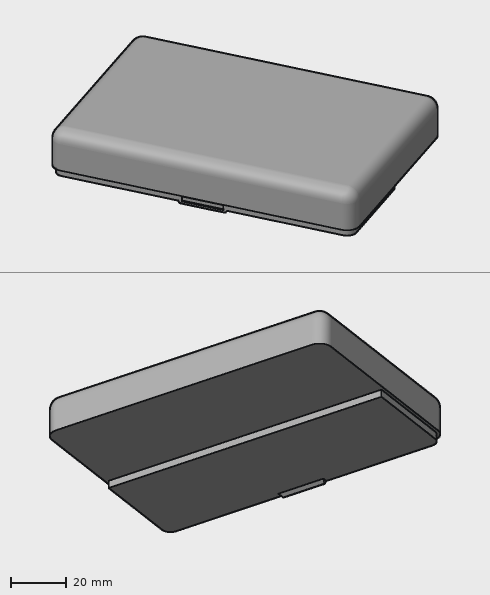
import cadquery as cq

lid_length = 121.0
lid_width = 81.0
lid_height = 16.0
edge_radius = 5.0
lip_inset = 1.3
lip_height = 3.0
tab_height = 1.0
tab_root_length = 19.5
tab_tip_length = 17.9
tab_depth = 2.0
tab_tip_depth = 0.2
recess_length = 16.5
recess_height = 2.0
recess_depth = 0.7

lip_length = lid_length - 2 * lip_inset
lip_width = lid_width - 2 * lip_inset
lip_radius = edge_radius - lip_inset
lip_front = -lip_width / 2
lip_bottom = -lip_height


def make_lid():
    """Block with rounded vertical corners and a rounded top edge."""
    block = cq.Workplane("XY").box(lid_length, lid_width, lid_height, centered=(True, True, False))
    return block.edges("|Z or >Z").fillet(edge_radius)


def make_lip():
    """Stepped-in lip below the front half of the lid."""
    lip = (
        cq.Workplane("XY")
        .workplane(offset=lip_bottom)
        .box(lip_length, lip_width / 2, lip_height, centered=(True, False, False))
        .translate((0, lip_front, 0))
    )
    return lip.edges("|Z and <Y").fillet(lip_radius)


def make_tab():
    """Snap tab below the lip, with a sloping back and sloping ends."""
    tip_bottom = lip_bottom - tab_height
    side_profile = [
        (lip_front, 0),
        (lip_front, tip_bottom),
        (lip_front + tab_tip_depth, tip_bottom),
        (lip_front + tab_depth, lip_bottom),
        (lip_front + tab_depth, 0),
    ]
    front_profile = [
        (-tab_root_length / 2, 0),
        (-tab_root_length / 2, lip_bottom),
        (-tab_tip_length / 2, tip_bottom),
        (tab_tip_length / 2, tip_bottom),
        (tab_root_length / 2, lip_bottom),
        (tab_root_length / 2, 0),
    ]
    wedge = cq.Workplane("YZ").polyline(side_profile).close().extrude(tab_root_length / 2, both=True)
    front = cq.Workplane("XZ").polyline(front_profile).close().extrude(lid_width / 2)
    return wedge.intersect(front)


def make_recess():
    """Shallow finger recess in the front face of the lip, level with its lower edge."""
    return (
        cq.Workplane("XY")
        .box(recess_length, recess_depth, recess_height, centered=(True, False, False))
        .translate((0, lip_front, lip_bottom))
    )


result = make_lid().union(make_lip()).union(make_tab()).cut(make_recess())